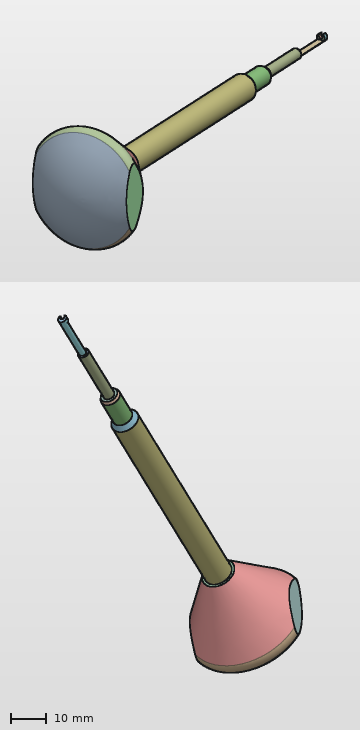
import cadquery as cq
import math

LENGTH = 144.0

KNOB_DIAMETER = 36.0
KNOB_WIDTH = 30.0
RIM_Y = 9.0
RIM_ROUNDING = 3.0
CONE_END_RADIUS = 4.9

SHANK_START_Y = 30.1
SHANK_END_Y = 98.4
SHANK_RADIUS = 8.2 / 2
COLLAR_START_Y = 100.0
COLLAR_END_Y = 109.9
COLLAR_RADIUS = 5.9 / 2
COLLAR_CHAMFER_LENGTH = 0.94
COLLAR_CHAMFER_DEPTH = 0.5
ROD_END_Y = 129.0
ROD_RADIUS = 3.3 / 2
ROD_CHAMFER = 0.5

HOOK_RADIUS = 1.3
HOOK_LENGTH = 1.5
HOOK_GROOVE_WIDTH = 1.2
HOOK_GROOVE_CENTER_Z = 0.5
BLADE_TOP_Z = -0.6
BLADE_OVERLAP = 1.5


def point_at(center, radius, angle):
    """Point on a circle, with the angle in radians from the +X axis."""
    return (center[0] + radius * math.cos(angle), center[1] + radius * math.sin(angle))


def make_body():
    """Knob, shank, collar and rod, turned about Y and flattened on both sides of the knob."""
    rim_center = (KNOB_DIAMETER / 2 - RIM_ROUNDING, RIM_Y)

    dome_radius = (rim_center[0] ** 2 + RIM_Y ** 2 - RIM_ROUNDING ** 2) / (2 * (RIM_Y - RIM_ROUNDING))
    dome_center = (0, dome_radius)
    dome_end_angle = math.atan2(RIM_Y - dome_radius, rim_center[0])
    dome_middle = point_at(dome_center, dome_radius, (dome_end_angle - math.pi / 2) / 2)
    dome_end = point_at(dome_center, dome_radius, dome_end_angle)

    to_cone_end = (CONE_END_RADIUS - rim_center[0], SHANK_START_Y - RIM_Y)
    to_cone_end_angle = math.atan2(to_cone_end[1], to_cone_end[0])
    cone_angle = to_cone_end_angle - math.acos(RIM_ROUNDING / math.hypot(*to_cone_end))
    cone_start = point_at(rim_center, RIM_ROUNDING, cone_angle)

    turned = (
        cq.Workplane("XY")
        .moveTo(0, 0)
        .threePointArc(dome_middle, dome_end)
        .threePointArc((KNOB_DIAMETER / 2, RIM_Y), cone_start)
        .lineTo(CONE_END_RADIUS, SHANK_START_Y)
        .lineTo(SHANK_RADIUS, SHANK_START_Y)
        .lineTo(SHANK_RADIUS, SHANK_END_Y)
        .lineTo(COLLAR_RADIUS, COLLAR_START_Y)
        .lineTo(COLLAR_RADIUS, COLLAR_END_Y - COLLAR_CHAMFER_LENGTH)
        .lineTo(COLLAR_RADIUS - COLLAR_CHAMFER_DEPTH, COLLAR_END_Y)
        .lineTo(ROD_RADIUS, COLLAR_END_Y)
        .lineTo(ROD_RADIUS, ROD_END_Y - ROD_CHAMFER)
        .lineTo(ROD_RADIUS - ROD_CHAMFER, ROD_END_Y)
        .lineTo(0, ROD_END_Y)
        .close()
        .revolve(360, (0, 0, 0), (0, 1, 0))
    )
    between_flats = cq.Workplane("XY").box(KNOB_WIDTH, 2 * LENGTH, 2 * KNOB_DIAMETER)
    return turned.intersect(between_flats)


def bar_along_y(radius, start_y, center_z=0.0):
    """Round bar parallel to Y, from start_y to the tip of the tool."""
    return cq.Workplane("XZ", origin=(0, start_y, center_z)).circle(radius).extrude(start_y - LENGTH)


def make_blade():
    """Thin blade: the low slice of a round bar below BLADE_TOP_Z."""
    above_blade = (
        cq.Workplane("XY", origin=(0, 0, BLADE_TOP_Z))
        .rect(4 * HOOK_RADIUS, 2 * LENGTH)
        .extrude(4 * HOOK_RADIUS)
    )
    return bar_along_y(HOOK_RADIUS, ROD_END_Y - BLADE_OVERLAP).cut(above_blade)


def make_hook():
    """Round tip with a round-bottomed groove along Y, open at the top."""
    start_y = LENGTH - HOOK_LENGTH
    groove_bottom = bar_along_y(HOOK_GROOVE_WIDTH / 2, start_y, HOOK_GROOVE_CENTER_Z)
    groove_mouth = (
        cq.Workplane("XY", origin=(0, 0, HOOK_GROOVE_CENTER_Z))
        .rect(HOOK_GROOVE_WIDTH, 2 * LENGTH)
        .extrude(2 * HOOK_RADIUS)
    )
    return bar_along_y(HOOK_RADIUS, start_y).cut(groove_bottom).cut(groove_mouth)


result = make_body().union(make_blade()).union(make_hook())